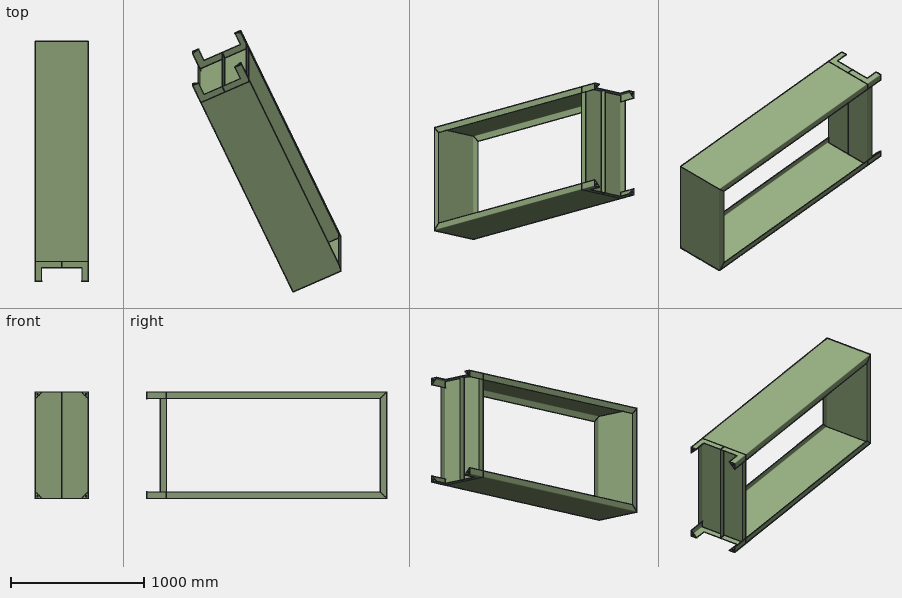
import cadquery as cq

width = 400.0
length = 1800.0
height = 800.0

sheet = 2.0
inner_bend = 3.0
outer_bend = inner_bend + sheet
flange = 50.0

leg_width = 50.0
leg_length = 100.0
leaf_back = leg_length + flange

gusset_side = 50.0
gusset_thickness = sheet
gusset_hole_diameter = 10.0
gusset_hole_inset = 16.0

half_width = width / 2
half_height = height / 2
inner_width = width - 2 * sheet
inner_height = height - 2 * sheet


def channel(web_width, run):
    """Folded channel standing along Z: outer web face at Y = 0, flanges reaching to -Y, centred on X and Z."""
    outside = (
        cq.Workplane("XY")
        .box(web_width, flange, run)
        .edges("|Z and >Y")
        .fillet(outer_bend)
    )
    inside = (
        cq.Workplane("XY")
        .box(web_width - 2 * sheet, flange, run)
        .edges("|Z and >Y")
        .fillet(inner_bend)
        .translate((0, -sheet, 0))
    )
    return outside.cut(inside).translate((0, -flange / 2, 0))


def side_prism(points):
    """Block across the full width from an outline of (Y, Z) points."""
    return cq.Workplane("YZ").polyline(points).close().extrude(half_width, both=True)


def make_top_panel():
    """Long channel lying on top: mitred at the back, cut out between its legs at the front."""
    panel = (
        channel(width, length)
        .rotate((0, 0, 0), (1, 0, 0), 90)
        .translate((0, length / 2, half_height))
    )
    mitred_outline = side_prism([
        (0, half_height),
        (length, half_height),
        (length - flange, half_height - flange),
        (0, half_height - flange),
    ])
    leg_gap = cq.Workplane("XY").box(width - 2 * leg_width, 2 * leg_length, 2 * height)
    return panel.intersect(mitred_outline).cut(leg_gap)


def make_back_panel():
    """Upright channel closing the back, mitred at both ends."""
    panel = channel(width, height).translate((0, length, 0))
    mitred_outline = side_prism([
        (length, half_height),
        (length, -half_height),
        (length - flange, flange - half_height),
        (length - flange, half_height - flange),
    ])
    return panel.intersect(mitred_outline)


def make_leaf(side):
    """Upright channel filling one half of the front opening; side is -1 or 1 along X."""
    leaf = channel(half_width, inner_height).translate((side * half_width / 2, leaf_back, 0))
    inside_panels = (
        cq.Workplane("XY")
        .box(inner_width, length, inner_height)
        .edges("|Y")
        .fillet(inner_bend)
    )
    between_flanges = cq.Workplane("XY").box(width, length, height - 2 * flange)
    return leaf.intersect(inside_panels.union(between_flanges))


def make_gusset():
    """Drilled triangular plate in the inner corner of the leg tip at +X, +Z."""
    corner_x = inner_width / 2
    corner_z = inner_height / 2
    plate = (
        cq.Workplane("XZ")
        .moveTo(corner_x, corner_z)
        .lineTo(corner_x - gusset_side, corner_z)
        .lineTo(corner_x, corner_z - gusset_side)
        .close()
        .extrude(-gusset_thickness)
        .edges("|Y and >(1, 0, 1)")
        .fillet(inner_bend)
    )
    hole = (
        cq.Workplane("XZ")
        .center(corner_x - gusset_hole_inset, corner_z - gusset_hole_inset)
        .circle(gusset_hole_diameter / 2)
        .extrude(-gusset_thickness)
    )
    return plate.cut(hole)


top_panel = make_top_panel()
bottom_panel = top_panel.mirror("XY")
back_panel = make_back_panel()
leaves = [make_leaf(side) for side in (-1, 1)]

upper_right_gusset = make_gusset()
upper_left_gusset = upper_right_gusset.mirror("YZ")
gussets = []
for upper_gusset in (upper_left_gusset, upper_right_gusset):
    gussets.append(upper_gusset)
    gussets.append(upper_gusset.mirror("XY"))

result = cq.Compound.makeCompound([
    top_panel.val(),
    bottom_panel.val(),
    back_panel.val(),
    *[leaf.val() for leaf in leaves],
    *[gusset.val() for gusset in gussets],
])